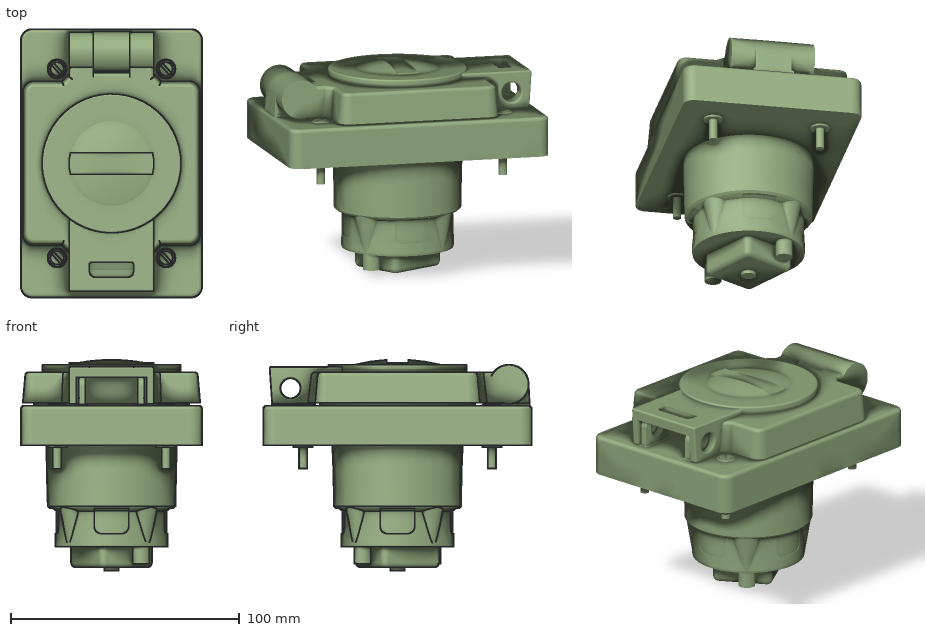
import cadquery as cq

PLATE_WIDTH = 79.38
PLATE_LENGTH = 117.47
PLATE_TOP = 17.46
PLATE_CORNER_RADIUS = 5.0
EDGE_FILLET = 1.65

GASKET_RADIUS = 34.0
LID_BOTTOM = 18.6
LID_TOP = 32.1
LID_HALF_WIDTH = 38.85
LID_HALF_LENGTH = 36.0
LID_CORNER_RADIUS = 5.0
LID_DRAFT = 5.0
LID_END_Y = 39.2
NECK_HALF_WIDTH = 18.54

HINGE_RADIUS = 8.55
MIDDLE_KNUCKLE_RADIUS = 8.6
HINGE_Y = 48.8
HINGE_Z = 26.75
KNUCKLE_HALF_WIDTH = 7.97
HINGE_POST_BACK = 57.9
HINGE_POST_FRONT = 42.0
HINGE_BASE_HALF_WIDTH = 8.9
HINGE_BASE_TOP = 18.4
KNUCKLE_POCKET_Y = 39.6

DISC_RADIUS = 30.4
DISC_TOP = 35.37
DISC_FILLET = 0.8
DOME_RADIUS = NECK_HALF_WIDTH
DOME_APEX = 37.62
BAND_HALF_WIDTH = 4.67
BAND_TOP = 36.15

TONGUE_TOP = 34.4
TONGUE_BOTTOM = 18.2
TONGUE_FRONT_TOP_Y = -56.0
TONGUE_FRONT_BOTTOM_Y = -54.9
TONGUE_EDGE_FILLET = 0.8
TONGUE_OPENING_HALF_WIDTH = 15.4
TONGUE_OPENING_TOP = 29.75
HASP_HOLE_Y = -46.8
HASP_HOLE_Z = 25.0
HASP_HOLE_RADIUS = 4.35
HASP_HOLE_LIP_FILLET = 0.95
GRIP_HALF_LENGTH = 9.65
GRIP_BACK_Y = -43.3
GRIP_MIDDLE_Y = -46.55
GRIP_FRONT_Y = -49.8
GRIP_BACK_DEPTH = 0.8
GRIP_DEPTH = 1.8
GRIP_BACK_CORNER = 0.9
GRIP_FRONT_CORNER = 2.6

POST_INNER_X = 11.4
POST_OUTER_X = 14.3
POST_FRONT_Y = -54.2
POST_TOP_FILLET = 3.7
POST_FOOT_MARGIN = 0.9
POST_FOOT_HEIGHT = 0.5

SCREW_X = 23.8
SCREW_Y = 41.3
SCREW_COLLAR_RADIUS = 4.2
SCREW_COLLAR_HEIGHT = 0.5
SCREW_COLLAR_CHAMFER = 0.45
SCREW_HEAD_RADIUS = 2.9
SCREW_HEAD_HEIGHT = 0.9
SCREW_SLOT_WIDTH = 1.3
SCREW_SLOT_ANGLE = -48
SCREW_WASHER_HEIGHT = 0.8
SCREW_SHANK_RADIUS = 1.85
SCREW_LENGTH = 10.2

BODY_TOP_RADIUS = 28.6
BODY_STEP_RADIUS = 28.0
BODY_STEP_Z = -26.5
BODY_STEP_CHAMFER = 0.9
BODY_NECK_Z = -28.8
BODY_NECK_RADIUS = 24.4
BODY_LOWER_RADIUS = 24.7
BODY_LOWER_CHAMFER_Z = -43.5
BODY_BOTTOM_Z = -44.4
BODY_BOTTOM_RADIUS = 24.5

RIB_FIRST_ANGLE = 40
RIB_TOP_RADIUS = 7.3
RIB_TOP_REACH = 27.7
RIB_TIP_RADIUS = 2.5

RECESS_WIDTH = 15.1
RECESS_TOP_Z = -27.5
RECESS_BOTTOM_Z = -38.6
RECESS_CORNER_RADIUS = 3.2
RECESS_FLOOR_RADIUS = 24.25
RECESS_FLOOR_TOP_Z = -28.5
RECESS_SHOULDER_RADIUS = 25.6

BLOCK_ANGLE = 30
BLOCK_WIDTH = 26.4
BLOCK_LENGTH = 29.0
BLOCK_CORNER_RADIUS = 2.6
BLOCK_BOTTOM_Z = -53.4
BLOCK_BOTTOM_FILLET = 2.2
BARREL_RADIUS = 3.65
BARREL_DISTANCE = 20.0
BARREL_BOTTOM_Z = -51.7
PIN_RADIUS = 3.25
PIN_BOTTOM_Z = -54.93


def box_between(x0, x1, y0, y1, z0, z1):
    """Axis-aligned box given by its limits."""
    return (
        cq.Workplane("XY")
        .box(x1 - x0, y1 - y0, z1 - z0, centered=False)
        .translate((x0, y0, z0))
    )


def cylinder_between(radius, z0, z1):
    """Cylinder about the Z axis between two levels."""
    return cq.Workplane("XY").workplane(offset=z0).circle(radius).extrude(z1 - z0)


def revolve_profile(points):
    """Solid of revolution about Z from (radius, Z) points."""
    return cq.Workplane("XZ").polyline(points).close().revolve(360, (0, 0, 0), (0, 1, 0))


def make_plate():
    plate = box_between(
        -PLATE_WIDTH / 2, PLATE_WIDTH / 2, -PLATE_LENGTH / 2, PLATE_LENGTH / 2, 0, PLATE_TOP
    )
    plate = plate.edges("|Z").fillet(PLATE_CORNER_RADIUS)
    return plate.faces(">Z").edges().fillet(EDGE_FILLET)


def make_lid_body():
    """Drafted lid with 45 degree shoulders narrowing to the neck at both ends."""
    height = LID_TOP - LID_BOTTOM
    body = (
        cq.Workplane("XY")
        .workplane(offset=LID_BOTTOM)
        .sketch()
        .rect(2 * LID_HALF_WIDTH, 2 * LID_HALF_LENGTH)
        .vertices()
        .fillet(LID_CORNER_RADIUS)
        .finalize()
        .extrude(height, taper=LID_DRAFT)
    )
    shoulder_run = LID_END_Y / 2
    half_outline = [
        (NECK_HALF_WIDTH, LID_END_Y),
        (NECK_HALF_WIDTH + shoulder_run, LID_END_Y - shoulder_run),
        (NECK_HALF_WIDTH + shoulder_run, shoulder_run - LID_END_Y),
        (NECK_HALF_WIDTH, -LID_END_Y),
    ]
    outline = half_outline + [(-x, y) for x, y in reversed(half_outline)]
    shoulders = (
        cq.Workplane("XY")
        .workplane(offset=LID_BOTTOM)
        .polyline(outline)
        .close()
        .extrude(height, taper=LID_DRAFT)
    )
    lid = body.union(shoulders)
    return lid.faces(">Z").edges().fillet(EDGE_FILLET)


def make_neck():
    """Neck carrying the outer knuckles, with a rounded pocket for the middle one."""
    neck = box_between(
        -NECK_HALF_WIDTH, NECK_HALF_WIDTH, LID_HALF_LENGTH / 2, HINGE_Y, LID_BOTTOM, LID_TOP
    )
    neck = neck.faces(">Z").edges("|Y").fillet(EDGE_FILLET)
    pocket = box_between(
        -KNUCKLE_HALF_WIDTH, KNUCKLE_HALF_WIDTH, KNUCKLE_POCKET_Y, HINGE_Y, HINGE_Z, LID_TOP
    )
    neck = neck.cut(pocket)
    pocket_lip = cq.selectors.NearestToPointSelector((0, KNUCKLE_POCKET_Y, LID_TOP))
    return neck.edges(pocket_lip).fillet(EDGE_FILLET)


def make_hinge():
    barrel = (
        cq.Workplane("YZ")
        .workplane(offset=-NECK_HALF_WIDTH)
        .center(HINGE_Y, HINGE_Z)
        .circle(HINGE_RADIUS)
        .extrude(2 * NECK_HALF_WIDTH)
    )
    middle_knuckle = (
        cq.Workplane("YZ")
        .workplane(offset=-KNUCKLE_HALF_WIDTH)
        .center(HINGE_Y, HINGE_Z)
        .circle(MIDDLE_KNUCKLE_RADIUS)
        .extrude(2 * KNUCKLE_HALF_WIDTH)
    )
    post = (
        cq.Workplane("YZ")
        .workplane(offset=-KNUCKLE_HALF_WIDTH)
        .moveTo(HINGE_POST_FRONT, PLATE_TOP)
        .lineTo(HINGE_POST_BACK, PLATE_TOP)
        .lineTo(HINGE_Y + MIDDLE_KNUCKLE_RADIUS, HINGE_Z)
        .lineTo(HINGE_Y, HINGE_Z)
        .lineTo(HINGE_POST_FRONT, LID_BOTTOM)
        .close()
        .extrude(2 * KNUCKLE_HALF_WIDTH)
    )
    base = box_between(
        -HINGE_BASE_HALF_WIDTH, HINGE_BASE_HALF_WIDTH,
        HINGE_POST_FRONT, HINGE_POST_BACK, PLATE_TOP, HINGE_BASE_TOP,
    )
    return barrel.union(middle_knuckle).union(post).union(base)


def make_disc_and_dome():
    """Round boss with a shallow dome crossed by a lower flat band."""
    disc = cylinder_between(DISC_RADIUS, LID_BOTTOM, DISC_TOP)
    disc = disc.faces(">Z").edges().fillet(DISC_FILLET)
    dome_height = DOME_APEX - DISC_TOP
    sphere_radius = (DOME_RADIUS**2 + dome_height**2) / (2 * dome_height)
    sphere = cq.Workplane("XY").sphere(sphere_radius).translate((0, 0, DOME_APEX - sphere_radius))
    dome = cylinder_between(DOME_RADIUS, LID_TOP, DOME_APEX).intersect(sphere)
    strip = box_between(
        -DISC_RADIUS, DISC_RADIUS, -BAND_HALF_WIDTH, BAND_HALF_WIDTH, LID_TOP, DOME_APEX
    )
    band = cylinder_between(DOME_RADIUS, LID_TOP, BAND_TOP).intersect(strip)
    return disc.union(dome.cut(strip)).union(band)


def make_grip():
    """Finger recess in the tongue: flat floor in front, sloping floor behind."""
    recess = box_between(
        -GRIP_HALF_LENGTH, GRIP_HALF_LENGTH, GRIP_FRONT_Y, GRIP_BACK_Y, TONGUE_TOP - GRIP_DEPTH, TONGUE_TOP
    )
    recess = recess.edges("|Z and >Y").fillet(GRIP_BACK_CORNER)
    recess = recess.edges("|Z and <Y").fillet(GRIP_FRONT_CORNER)
    ramp = (
        cq.Workplane("YZ")
        .workplane(offset=-GRIP_HALF_LENGTH)
        .moveTo(GRIP_MIDDLE_Y, TONGUE_TOP - GRIP_DEPTH)
        .lineTo(GRIP_BACK_Y, TONGUE_TOP - GRIP_DEPTH)
        .lineTo(GRIP_BACK_Y, TONGUE_TOP - GRIP_BACK_DEPTH)
        .close()
        .extrude(2 * GRIP_HALF_LENGTH)
    )
    return recess.cut(ramp)


def cross_hole():
    """Padlock hole along X, right through the hasp."""
    return (
        cq.Workplane("YZ")
        .workplane(offset=-PLATE_WIDTH / 2)
        .center(HASP_HOLE_Y, HASP_HOLE_Z)
        .circle(HASP_HOLE_RADIUS)
        .extrude(PLATE_WIDTH)
    )


def make_tongue():
    tongue = (
        cq.Workplane("YZ")
        .workplane(offset=-NECK_HALF_WIDTH)
        .moveTo(-DOME_RADIUS, TONGUE_TOP)
        .lineTo(TONGUE_FRONT_TOP_Y, TONGUE_TOP)
        .lineTo(TONGUE_FRONT_BOTTOM_Y, TONGUE_BOTTOM)
        .lineTo(-LID_HALF_LENGTH, TONGUE_BOTTOM)
        .lineTo(-LID_HALF_LENGTH, LID_BOTTOM)
        .lineTo(-DOME_RADIUS, LID_BOTTOM)
        .close()
        .extrude(2 * NECK_HALF_WIDTH)
    )
    tongue = tongue.edges(">Z and |Y").fillet(TONGUE_EDGE_FILLET)
    tongue = tongue.faces("<Y").edges("not <Z").fillet(TONGUE_EDGE_FILLET)
    opening = box_between(
        -TONGUE_OPENING_HALF_WIDTH, TONGUE_OPENING_HALF_WIDTH,
        TONGUE_FRONT_TOP_Y, -LID_END_Y, TONGUE_BOTTOM, TONGUE_OPENING_TOP,
    )
    tongue = tongue.cut(opening).cut(cross_hole())
    for side_face in ("<X", ">X"):
        tongue = tongue.faces(side_face).edges("%CIRCLE").fillet(HASP_HOLE_LIP_FILLET)
    return tongue.cut(make_grip())


def make_hasp_post(side):
    """Upright cheek with a foot; side is -1 or +1 along X."""
    post = box_between(
        POST_INNER_X, POST_OUTER_X, POST_FRONT_Y, -LID_HALF_LENGTH, PLATE_TOP, TONGUE_OPENING_TOP
    )
    post = post.edges(">Z and <Y").fillet(POST_TOP_FILLET)
    foot = box_between(
        POST_INNER_X - POST_FOOT_MARGIN, POST_OUTER_X + POST_FOOT_MARGIN,
        POST_FRONT_Y - POST_FOOT_MARGIN, -LID_HALF_LENGTH, PLATE_TOP, PLATE_TOP + POST_FOOT_HEIGHT,
    )
    post = post.union(foot).cut(cross_hole())
    if side < 0:
        return post.mirror("YZ")
    return post


def make_screw(x, y):
    """Slotted screw head on the plate, with washer and shank below it."""
    head_top = PLATE_TOP + SCREW_HEAD_HEIGHT
    collar_top = PLATE_TOP + SCREW_COLLAR_HEIGHT
    slot = (
        cq.Workplane("XY")
        .box(2 * SCREW_HEAD_RADIUS, SCREW_SLOT_WIDTH, SCREW_HEAD_HEIGHT)
        .rotate((0, 0, 0), (0, 0, 1), SCREW_SLOT_ANGLE)
        .translate((0, 0, head_top))
    )
    collar = cylinder_between(SCREW_COLLAR_RADIUS, 0, collar_top)
    collar = collar.faces(">Z").chamfer(SCREW_COLLAR_CHAMFER)
    screw = (
        collar
        .union(cylinder_between(SCREW_HEAD_RADIUS, 0, head_top))
        .cut(slot)
        .union(cylinder_between(SCREW_COLLAR_RADIUS, -SCREW_WASHER_HEIGHT, 0))
        .union(cylinder_between(SCREW_SHANK_RADIUS, -SCREW_LENGTH, 0))
    )
    return screw.translate((x, y, 0))


def make_rib(angle):
    """Rib shaped as a leaning cone that fades into the body at its lower tip."""
    top = cq.Vector(RIB_TOP_REACH - RIB_TOP_RADIUS, 0, BODY_STEP_Z)
    tip = cq.Vector(BODY_LOWER_RADIUS - RIB_TIP_RADIUS, 0, BODY_LOWER_CHAMFER_Z)
    axis = tip - top
    cone = cq.Solid.makeCone(RIB_TOP_RADIUS, RIB_TIP_RADIUS, axis.Length, top, axis)
    return cq.Workplane(cone).rotate((0, 0, 0), (0, 0, 1), angle)


def make_recess(angle):
    """Cutter for one shallow side recess with rounded lower corners."""
    blank = box_between(
        0, BODY_TOP_RADIUS, -RECESS_WIDTH / 2, RECESS_WIDTH / 2, RECESS_BOTTOM_Z, RECESS_TOP_Z
    )
    blank = blank.edges("|X and <Z").fillet(RECESS_CORNER_RADIUS)
    core_profile = [
        (0, RECESS_BOTTOM_Z),
        (RECESS_FLOOR_RADIUS, RECESS_BOTTOM_Z),
        (RECESS_FLOOR_RADIUS, RECESS_FLOOR_TOP_Z),
        (RECESS_SHOULDER_RADIUS, RECESS_TOP_Z),
        (0, RECESS_TOP_Z),
    ]
    core = revolve_profile(core_profile)
    return blank.cut(core).rotate((0, 0, 0), (0, 0, 1), angle)


def make_receptacle():
    profile = [
        (0, 0),
        (BODY_TOP_RADIUS, 0),
        (BODY_STEP_RADIUS, BODY_STEP_Z),
        (BODY_STEP_RADIUS - BODY_STEP_CHAMFER, BODY_STEP_Z - BODY_STEP_CHAMFER),
        (BODY_NECK_RADIUS, BODY_NECK_Z),
        (BODY_LOWER_RADIUS, BODY_LOWER_CHAMFER_Z),
        (BODY_BOTTOM_RADIUS, BODY_BOTTOM_Z),
        (0, BODY_BOTTOM_Z),
    ]
    body = revolve_profile(profile)
    for quarter in range(4):
        body = body.cut(make_recess(90 * quarter))
        body = body.union(make_rib(RIB_FIRST_ANGLE + 90 * quarter))
    return body


def make_terminal_block():
    """Turned block with a centre pin, between two round barrels in line with the ribs."""
    root_z = BODY_LOWER_CHAMFER_Z
    block = box_between(
        -BLOCK_WIDTH / 2, BLOCK_WIDTH / 2, -BLOCK_LENGTH / 2, BLOCK_LENGTH / 2, BLOCK_BOTTOM_Z, root_z
    )
    block = block.edges("|Z").fillet(BLOCK_CORNER_RADIUS)
    block = block.faces("<Z").edges().fillet(BLOCK_BOTTOM_FILLET)
    pin = cylinder_between(PIN_RADIUS, PIN_BOTTOM_Z, root_z)
    block = block.union(pin).rotate((0, 0, 0), (0, 0, 1), BLOCK_ANGLE)
    barrel = cylinder_between(BARREL_RADIUS, BARREL_BOTTOM_Z, root_z).translate((BARREL_DISTANCE, 0, 0))
    for quarter in (1, 3):
        block = block.union(barrel.rotate((0, 0, 0), (0, 0, 1), RIB_FIRST_ANGLE + 90 * quarter))
    return block


result = make_plate()
result = result.union(cylinder_between(GASKET_RADIUS, PLATE_TOP, LID_BOTTOM))
lid = make_lid_body().union(make_neck()).union(make_disc_and_dome()).union(make_tongue())
result = result.union(lid).union(make_hinge())
for side in (-1, 1):
    result = result.union(make_hasp_post(side))
    for end in (-1, 1):
        result = result.union(make_screw(side * SCREW_X, end * SCREW_Y))
result = result.union(make_receptacle()).union(make_terminal_block())